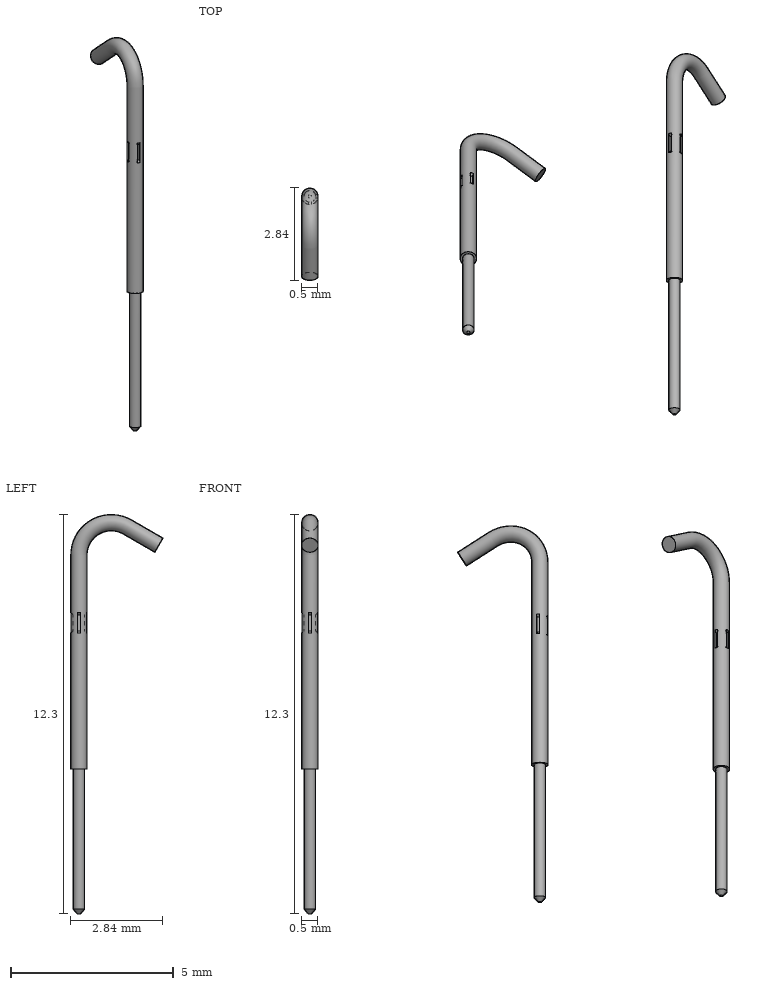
import cadquery as cq
import math

bar_diameter = 0.5
bar_radius = bar_diameter / 2
pin_diameter = 0.35
shoulder_height = 4.46

tip_diameter = 0.1
tip_length = 0.15

total_height = 12.28
total_depth = 2.84
hook_angle = 120
bend_radius = 1.0
bend_start = total_height - bar_radius - bend_radius
hook_slope = math.radians(hook_angle - 90)
bend_reach = bend_radius * (1 + math.sin(hook_slope))
hook_reach = total_depth - bar_radius * (1 + math.sin(hook_slope))
hook_length = (hook_reach - bend_reach) / math.cos(hook_slope)

slot_count = 4
slot_width = 0.1
slot_length = 0.64
slot_center_height = 8.95
slot_depth = 0.07
slot_end_slope_length = 0.07


def turned_pin():
    """Slim pin below the shoulder, with a blunt conical point."""
    pin_radius = pin_diameter / 2
    return (
        cq.Workplane("XZ")
        .moveTo(0, 0)
        .lineTo(tip_diameter / 2, 0)
        .lineTo(pin_radius, tip_length)
        .lineTo(pin_radius, shoulder_height)
        .lineTo(0, shoulder_height)
        .close()
        .revolve(360, (0, 0), (0, 1))
    )


def hooked_bar():
    """Straight bar above the shoulder, bent over towards -Y."""
    mid_slope = math.radians(hook_angle / 2)
    bend_mid = (
        -bend_radius * (1 - math.cos(mid_slope)),
        bend_start + bend_radius * math.sin(mid_slope),
    )
    bend_end = (-bend_reach, bend_start + bend_radius * math.cos(hook_slope))
    hook_end = (-hook_reach, bend_end[1] - hook_length * math.sin(hook_slope))
    path = (
        cq.Workplane("YZ")
        .moveTo(0, shoulder_height)
        .lineTo(0, bend_start)
        .threePointArc(bend_mid, bend_end)
        .lineTo(*hook_end)
    )
    return cq.Workplane("XY", origin=(0, 0, shoulder_height)).circle(bar_radius).sweep(path)


def slot_cutter():
    """Cutter for the slot in the -Y side: a flat floor with ends sloping out to the surface."""
    half_mouth = slot_length / 2
    half_floor = half_mouth - slot_end_slope_length
    floor_y = -(bar_radius - slot_depth)
    outside_y = -bar_diameter
    return (
        cq.Workplane("YZ", origin=(0, 0, slot_center_height))
        .polyline([
            (floor_y, -half_floor),
            (-bar_radius, -half_mouth),
            (outside_y, -half_mouth),
            (outside_y, half_mouth),
            (-bar_radius, half_mouth),
            (floor_y, half_floor),
        ])
        .close()
        .extrude(slot_width / 2, both=True)
    )


result = turned_pin().union(hooked_bar())
for slot in range(slot_count):
    turn = slot * 360 / slot_count
    result = result.cut(slot_cutter().rotate((0, 0, 0), (0, 0, 1), turn))